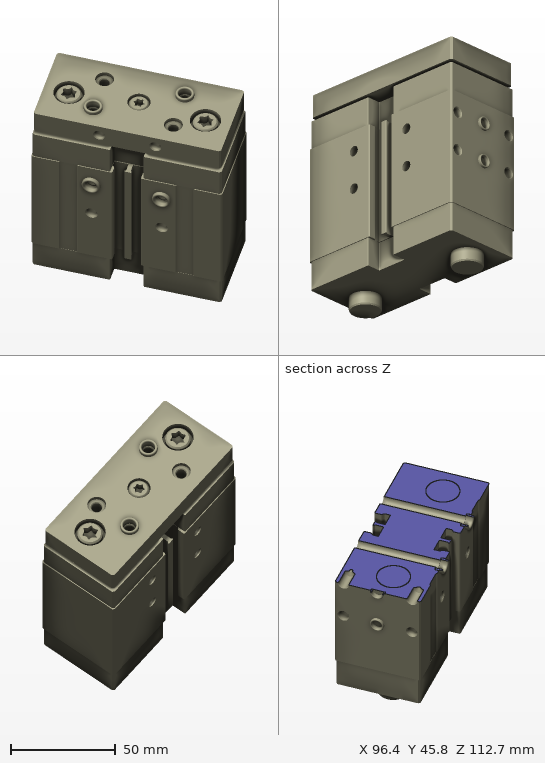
import cadquery as cq
import math

ROD_OVERHANG = 7.0
CAP_HEIGHT = 14.9
PROFILE_HEIGHT = 60.0
PLATE_GAP = 2.1
PLATE_HEIGHT = 11.8

LOWER_CAP_Z = ROD_OVERHANG
PROFILE_Z = LOWER_CAP_Z + CAP_HEIGHT
UPPER_CAP_Z = PROFILE_Z + PROFILE_HEIGHT
PLATE_Z = UPPER_CAP_Z + CAP_HEIGHT + PLATE_GAP
PLATE_TOP_Z = PLATE_Z + PLATE_HEIGHT

PROFILE_WIDTH = 95.0
PROFILE_DEPTH = 44.0
PROFILE_CORNER = 0.8
CAP_WIDTH = 94.1
CAP_DEPTH = 43.1
PLATE_WIDTH = 93.2
PLATE_DEPTH = 42.0
CORNER = 0.9
FRONT_Y = -PROFILE_DEPTH / 2
LEFT_X = -PROFILE_WIDTH / 2

CAP_SLOT_FLOOR_Y = 13.9
SLOT_FLOOR_Y = 14.3
CAP_SLOT_HALF_WIDTH = 8.3
CAP_SLOT_CHAMFER = 0.3
SLOT_HALF_WIDTH = 7.1
SLOT_LIP_DEPTH = 3.7
SLOT_UNDERCUT = 1.1
SLOT_MOUTH_CHAMFER = 0.5

RIDGE_TOP_Y = 19.6
RIDGE_NECK_HALF_WIDTH = 1.1
RIDGE_HALF_WIDTH = 1.8
RIDGE_CHAMFER = 0.3
RIDGE_EDGE = 0.1

GROOVE_INNER_X = 24.4
GROOVE_OUTER_X = 33.6
GROOVE_DEPTH = 0.6
GROOVE_WALL_RUN = 0.5

ROD_DIAMETER = 16.0
ROD_X = 34.0
ROD_Y = -3.0
ROD_END_CHAMFER_HEIGHT = 0.8
ROD_END_CHAMFER = 0.5
PISTON_ROD_DIAMETER = 10.0

ROD_SCREW = {"counterbore": 15.0, "head": 12.2, "edge": 0.8, "depth": 5.0, "sunk": 0.5,
             "tip": 4.0, "waist": 2.9, "lobe_angle": 90, "socket_depth": 4.5}
PISTON_SCREW = {"counterbore": 11.0, "head": 10.0, "edge": 0.9, "depth": 5.0, "sunk": 0.5,
                "tip": 2.8, "waist": 2.0, "lobe_angle": 0, "socket_depth": 4.0}

THREAD_DIAMETER = 5.0
THREAD_DEPTH = 9.0
THREAD_CHAMFER = 0.5
DRILL_POINT_ANGLE = 118
PLATE_FRONT_HOLE_X = 14.0
PLATE_TOP_HOLE_X = 20.0
PLATE_TOP_HOLE_Y = 10.0
THROUGH_DIAMETER = 5.3
THROUGH_CHAMFER = 0.5
SIDE_HOLE_PITCH = 20.0
MOUNT_DROP = 10.9
MOUNT_UPPER_Z = UPPER_CAP_Z - MOUNT_DROP
MOUNT_HEIGHTS = (MOUNT_UPPER_Z, MOUNT_UPPER_Z - SIDE_HOLE_PITCH)
MOUNT_HALF_SPACING = 17.5
AIR_PASSAGE_DIAMETER = 1.2
AIR_PASSAGE_LENGTH = 2.3

SLEEVE_DIAMETER = 9.0
SLEEVE_BORE = 6.3
SLEEVE_RECESS = 2.1
TOP_SLEEVE_PROTRUSION = 2.0
FRONT_SLEEVE_PROTRUSION = 1.8
SIDE_SLEEVE_DIAMETER = 7.0
SIDE_SLEEVE_BORE = 5.3
SIDE_SLEEVE_RECESS = 1.1
SIDE_SLEEVE_PROTRUSION = 1.4

UP = (0, 0, 1)
FORWARD = (0, -1, 0)
LEFT = (-1, 0, 0)
BOTH = (-1, 1)


def opposite(direction):
    return tuple(-d for d in direction)


def offset(point, direction, distance):
    return tuple(p + distance * d for p, d in zip(point, direction))


def cylinder(diameter, length, point, direction):
    return cq.Workplane(cq.Solid.makeCylinder(diameter / 2, length, cq.Vector(*point), cq.Vector(*direction)))


def cone(start_diameter, end_diameter, length, point, direction):
    start = cq.Vector(*point)
    axis = cq.Vector(*direction)
    return cq.Workplane(cq.Solid.makeCone(start_diameter / 2, end_diameter / 2, length, start, axis))


def block(width, depth, height, z):
    return cq.Workplane("XY").workplane(offset=z).rect(width, depth).extrude(height)


def symmetric_prism(right_side, z, height):
    """Prism whose outline is the given points and their mirror images across the middle plane."""
    left_side = [(-x, y) for x, y in reversed(right_side)]
    return cq.Workplane("XY").workplane(offset=z).polyline(right_side + left_side).close().extrude(height)


def countersink(diameter, chamfer, point, inward):
    return cone(diameter + 2 * chamfer, diameter, chamfer, point, inward)


def threaded_hole(point, inward):
    """Blind hole with a chamfered mouth and a drill point."""
    point_length = THREAD_DIAMETER / 2 / math.tan(math.radians(DRILL_POINT_ANGLE / 2))
    hole = cylinder(THREAD_DIAMETER, THREAD_DEPTH, point, inward)
    tip = cone(THREAD_DIAMETER, 0, point_length, offset(point, inward, THREAD_DEPTH), inward)
    return hole.union(tip).union(countersink(THREAD_DIAMETER, THREAD_CHAMFER, point, inward))


def profile_slot():
    """Undercut front slot with a T-shaped ridge on its floor."""
    lip_y = FRONT_Y + SLOT_LIP_DEPTH
    inner_half_width = SLOT_HALF_WIDTH + SLOT_UNDERCUT
    ridge_edge_y = RIDGE_CHAMFER - RIDGE_TOP_Y
    ridge_underside_y = ridge_edge_y + RIDGE_EDGE
    ridge_overhang = RIDGE_HALF_WIDTH - RIDGE_NECK_HALF_WIDTH
    right_side = [
        (SLOT_HALF_WIDTH + SLOT_MOUTH_CHAMFER, FRONT_Y),
        (SLOT_HALF_WIDTH, FRONT_Y + SLOT_MOUTH_CHAMFER),
        (SLOT_HALF_WIDTH, lip_y),
        (inner_half_width, lip_y + SLOT_UNDERCUT),
        (inner_half_width, -SLOT_FLOOR_Y),
        (RIDGE_NECK_HALF_WIDTH, -SLOT_FLOOR_Y),
        (RIDGE_NECK_HALF_WIDTH, ridge_underside_y + ridge_overhang),
        (RIDGE_HALF_WIDTH, ridge_underside_y),
        (RIDGE_HALF_WIDTH, ridge_edge_y),
        (RIDGE_HALF_WIDTH - RIDGE_CHAMFER, -RIDGE_TOP_Y),
    ]
    return symmetric_prism(right_side, PROFILE_Z, PROFILE_HEIGHT)


def front_groove(side):
    points = [
        (side * GROOVE_INNER_X, FRONT_Y),
        (side * (GROOVE_INNER_X + GROOVE_WALL_RUN), FRONT_Y + GROOVE_DEPTH),
        (side * (GROOVE_OUTER_X - GROOVE_WALL_RUN), FRONT_Y + GROOVE_DEPTH),
        (side * GROOVE_OUTER_X, FRONT_Y),
    ]
    return cq.Workplane("XY").workplane(offset=PROFILE_Z).polyline(points).close().extrude(PROFILE_HEIGHT)


def rod_bores(z, height):
    bores = cylinder(ROD_DIAMETER, height, (-ROD_X, ROD_Y, z), UP)
    return bores.union(cylinder(ROD_DIAMETER, height, (ROD_X, ROD_Y, z), UP))


def make_profile():
    body = block(PROFILE_WIDTH, PROFILE_DEPTH, PROFILE_HEIGHT, PROFILE_Z)
    body = body.edges("|Z").chamfer(PROFILE_CORNER)
    slot = profile_slot()
    body = body.cut(slot).cut(slot.mirror("XZ"))
    body = body.cut(rod_bores(PROFILE_Z, PROFILE_HEIGHT))
    for side in BOTH:
        body = body.cut(front_groove(side))
        for z in MOUNT_HEIGHTS:
            mouth = (side * MOUNT_HALF_SPACING, FRONT_Y, z)
            body = body.cut(cylinder(THROUGH_DIAMETER, PROFILE_DEPTH, mouth, opposite(FORWARD)))
            body = body.cut(countersink(THROUGH_DIAMETER, THROUGH_CHAMFER, mouth, opposite(FORWARD)))
            body = body.cut(threaded_hole((LEFT_X, side * MOUNT_HALF_SPACING, z), opposite(LEFT)))
        seat = (side * MOUNT_HALF_SPACING, FRONT_Y, MOUNT_UPPER_Z)
        body = body.cut(cylinder(SLEEVE_DIAMETER, SLEEVE_RECESS, seat, opposite(FORWARD)))
    for z in MOUNT_HEIGHTS:
        seat = (LEFT_X, 0, z)
        body = body.cut(cylinder(SIDE_SLEEVE_DIAMETER, SIDE_SLEEVE_RECESS, seat, opposite(LEFT)))
        passage = (LEFT_X + THREAD_DEPTH, MOUNT_HALF_SPACING, z)
        body = body.cut(cylinder(AIR_PASSAGE_DIAMETER, AIR_PASSAGE_LENGTH, passage, opposite(LEFT)))
    return body


def piston_rod():
    return cylinder(PISTON_ROD_DIAMETER, PLATE_Z - UPPER_CAP_Z, (0, 0, UPPER_CAP_Z), UP)


def cap_slot(z):
    """Front slot with chamfered mouth and floor corners."""
    cap_front_y = -CAP_DEPTH / 2
    right_side = [
        (CAP_SLOT_HALF_WIDTH + CAP_SLOT_CHAMFER, cap_front_y),
        (CAP_SLOT_HALF_WIDTH, cap_front_y + CAP_SLOT_CHAMFER),
        (CAP_SLOT_HALF_WIDTH, -CAP_SLOT_FLOOR_Y - CAP_SLOT_CHAMFER),
        (CAP_SLOT_HALF_WIDTH - CAP_SLOT_CHAMFER, -CAP_SLOT_FLOOR_Y),
    ]
    return symmetric_prism(right_side, z, CAP_HEIGHT)


def make_cap(z):
    cap = block(CAP_WIDTH, CAP_DEPTH, CAP_HEIGHT, z).edges("|Z").chamfer(CORNER)
    slot = cap_slot(z)
    cap = cap.cut(slot).cut(slot.mirror("XZ"))
    return cap.cut(rod_bores(z, CAP_HEIGHT))


def screw_gap(screw, x, y):
    """What is cut from the plate so that a sunk screw head stands in its counterbore."""
    floor = (x, y, PLATE_TOP_Z - screw["depth"])
    head_height = screw["depth"] - screw["sunk"]
    head = cylinder(screw["head"], head_height, floor, UP).faces(">Z").edges().chamfer(screw["edge"])
    points = []
    for lobe in range(6):
        for radius, turn in ((screw["tip"], 0), (screw["waist"], 30)):
            angle = math.radians(screw["lobe_angle"] + 60 * lobe + turn)
            points.append((x + radius * math.cos(angle), y + radius * math.sin(angle)))
    head_top = PLATE_TOP_Z - screw["sunk"]
    socket = cq.Workplane("XY").workplane(offset=head_top).spline(points, periodic=True).close()
    socket = socket.extrude(-screw["socket_depth"])
    return cylinder(screw["counterbore"], screw["depth"], floor, UP).cut(head).union(socket)


def guide_rod(x):
    rod = cylinder(ROD_DIAMETER, PLATE_Z, (x, ROD_Y, 0), UP)
    return rod.faces("<Z").edges().chamfer(ROD_END_CHAMFER_HEIGHT, ROD_END_CHAMFER)


def make_moving_unit():
    unit = block(PLATE_WIDTH, PLATE_DEPTH, PLATE_HEIGHT, PLATE_Z).edges("|Z").chamfer(CORNER)
    unit = unit.union(piston_rod())
    unit = unit.cut(screw_gap(PISTON_SCREW, 0, 0))
    for side in BOTH:
        unit = unit.union(guide_rod(side * ROD_X))
        unit = unit.cut(screw_gap(ROD_SCREW, side * ROD_X, ROD_Y))
        front = (side * PLATE_FRONT_HOLE_X, -PLATE_DEPTH / 2, PLATE_Z + PLATE_HEIGHT / 2)
        unit = unit.cut(threaded_hole(front, opposite(FORWARD)))
        for y in (-PLATE_TOP_HOLE_Y, PLATE_TOP_HOLE_Y):
            top = (side * PLATE_TOP_HOLE_X, y, PLATE_TOP_Z)
            seat_floor = offset(top, UP, -SLEEVE_RECESS)
            unit = unit.cut(cylinder(SLEEVE_DIAMETER, SLEEVE_RECESS, top, opposite(UP)))
            unit = unit.cut(cylinder(THREAD_DIAMETER, PLATE_HEIGHT, top, opposite(UP)))
            unit = unit.cut(countersink(THREAD_DIAMETER, THREAD_CHAMFER, seat_floor, opposite(UP)))
    return unit


def make_sleeve(diameter, bore, recess, protrusion, mouth, outward):
    """Ring with a fully rounded rim, standing in a recess."""
    foot = offset(mouth, outward, -recess)
    outer = diameter / 2
    inner = bore / 2
    rim_radius = (outer - inner) / 2
    top = recess + protrusion
    sleeve = (
        cq.Workplane("XZ").moveTo(inner, 0).lineTo(outer, 0).lineTo(outer, top - rim_radius)
        .threePointArc((outer - rim_radius, top), (inner, top - rim_radius)).close()
        .revolve(360, (0, 0, 0), (0, 1, 0))
    )
    return sleeve.val().moved(cq.Plane(origin=foot, normal=outward).location)


def make_top_sleeves():
    return [
        make_sleeve(SLEEVE_DIAMETER, SLEEVE_BORE, SLEEVE_RECESS, TOP_SLEEVE_PROTRUSION,
                    (side * PLATE_TOP_HOLE_X, side * PLATE_TOP_HOLE_Y, PLATE_TOP_Z), UP)
        for side in BOTH
    ]


def make_front_sleeves():
    return [
        make_sleeve(SLEEVE_DIAMETER, SLEEVE_BORE, SLEEVE_RECESS, FRONT_SLEEVE_PROTRUSION,
                    (side * MOUNT_HALF_SPACING, FRONT_Y, MOUNT_UPPER_Z), FORWARD)
        for side in BOTH
    ]


def make_side_sleeves():
    return [
        make_sleeve(SIDE_SLEEVE_DIAMETER, SIDE_SLEEVE_BORE, SIDE_SLEEVE_RECESS, SIDE_SLEEVE_PROTRUSION,
                    (LEFT_X, 0, z), LEFT)
        for z in MOUNT_HEIGHTS
    ]


profile = make_profile()
lower_cap = make_cap(LOWER_CAP_Z)
upper_cap = make_cap(UPPER_CAP_Z).cut(piston_rod())
moving_unit = make_moving_unit()

result = cq.Compound.makeCompound([
    profile.val(),
    lower_cap.val(),
    upper_cap.val(),
    moving_unit.val(),
    *make_top_sleeves(),
    *make_front_sleeves(),
    *make_side_sleeves(),
])